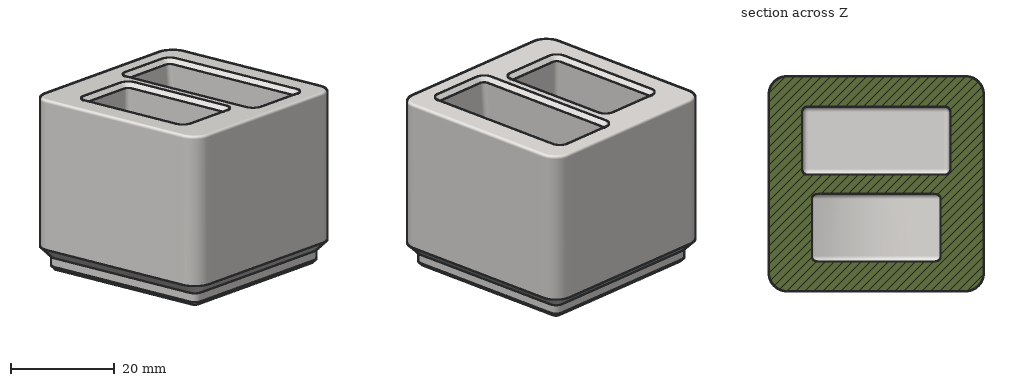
import cadquery as cq
import math

side = 41.5
height = 35.0
foot_corner_radius = 1.5
foot_inset = 2.15
corner_radius = foot_corner_radius + foot_inset
top_fillet = 0.6

foot_side = side - 2 * foot_inset
foot_chamfer = 0.8
foot_band = 1.8
foot_height = foot_chamfer + foot_band + foot_inset

mouth_chamfer = 1.0
pocket_fillet = 1.0
pocket_width = 13.05
rear_centre_y = 8.3
front_centre_y = -8.45
floor_z = foot_height

rear_length = 32.12
end_wall_draft = 4

front_length = 25.0
trough_radius = 26.98


def rounded_prism(size, corner, bottom, top):
    """Square prism with rounded vertical edges between two heights."""
    return (
        cq.Workplane("XY")
        .workplane(offset=bottom)
        .rect(size, size)
        .extrude(top - bottom)
        .edges("|Z")
        .fillet(corner)
    )


def outer_block():
    """Rounded block with a flared underside on a chamfered square foot."""
    flare_bottom = foot_height - foot_inset
    body = rounded_prism(side, corner_radius, flare_bottom, height)
    body = body.faces("<Z").chamfer(foot_inset)
    body = body.faces(">Z").edges().fillet(top_fillet)
    foot = rounded_prism(foot_side, foot_corner_radius, 0, flare_bottom)
    foot = foot.faces("<Z").chamfer(foot_chamfer)
    return body.union(foot)


def pocket_solid(outline, centre_y):
    """Extrude an XZ outline across the pocket width and round all edges but those at the top."""
    solid = outline.extrude(pocket_width / 2, both=True)
    solid = solid.edges("not >Z").fillet(pocket_fillet)
    return solid.translate((0, centre_y, 0))


def rear_pocket():
    """Pocket with drafted end walls and a flat floor."""
    slope = math.tan(math.radians(end_wall_draft))
    half_top = rear_length / 2 + mouth_chamfer * slope
    half_floor = half_top - (height - floor_z) * slope
    corners = [(-half_top, height), (half_top, height), (half_floor, floor_z), (-half_floor, floor_z)]
    outline = cq.Workplane("XZ").polyline(corners).close()
    return pocket_solid(outline, rear_centre_y)


def front_pocket():
    """Pocket with vertical walls and a concave cylindrical floor."""
    half = front_length / 2
    rise = trough_radius - math.sqrt(trough_radius**2 - half**2)
    outline = (
        cq.Workplane("XZ")
        .moveTo(-half, height)
        .lineTo(half, height)
        .lineTo(half, floor_z + rise)
        .threePointArc((0, floor_z), (-half, floor_z + rise))
        .close()
    )
    return pocket_solid(outline, front_centre_y)


def mouth(length, centre_y):
    """45 degree flare around a pocket mouth, narrowing downwards from the top face."""
    flare = cq.Sketch().rect(length + 2 * mouth_chamfer, pocket_width + 2 * mouth_chamfer)
    flare = flare.vertices().fillet(pocket_fillet + mouth_chamfer)
    return (
        cq.Workplane("XY")
        .workplane(offset=height)
        .center(0, centre_y)
        .placeSketch(flare)
        .extrude(-mouth_chamfer, taper=45)
    )


result = (
    outer_block()
    .cut(rear_pocket())
    .cut(front_pocket())
    .cut(mouth(rear_length, rear_centre_y))
    .cut(mouth(front_length, front_centre_y))
)